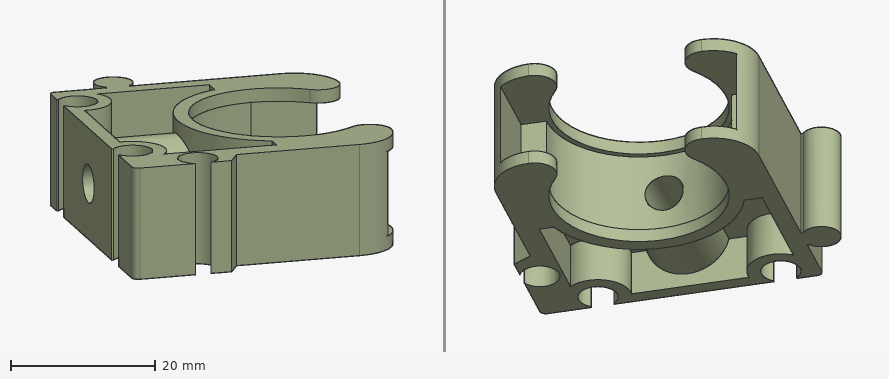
import cadquery as cq
import math

height = 16.0
mid_z = height / 2
cut_margin = 0.45

overall_width = 45.75
half_width = 18.9
total_depth = 40.0
bore_radius = 12.5
bore_y = 27.55
arm_radius = 6.5
tip_radius = 3.1
arm_x = half_width - arm_radius
arm_y = total_depth - arm_radius
tip_y = total_depth - tip_radius
corner_radius = 0.9

shoulder_x = 21.65
shoulder_low_y = 14.2
shoulder_high_y = 15.75

coupling_radius = 2.75
coupling_y = 10.05
pin_x = shoulder_x - overall_width + coupling_radius
neck_half_width = 1.7
neck_start = math.sqrt(coupling_radius**2 - neck_half_width**2)
socket_radius = 2.8
side_socket_x = 19.07
bottom_socket_y = 2.5
bottom_socket_xs = (-13.45, 12.8)
bottom_slot_width = 3.3

web_thickness = 2.75
pocket_depth = (height - web_thickness) / 2
pocket_left = -16.3
pocket_right = 15.75
pocket_bottom = 2.1
pocket_top = 22.4
seat_outer_radius = 14.65
socket_wall_radius = 4.7

boss_radius = 6.05
screw_radius = 2.75

flange_thickness = 1.9
relief_half_width = 16.92
groove_radius = 13.3


def disc(x, y, radius, z=0.0, thickness=height):
    """Upright cylinder standing on the plane at z."""
    return cq.Workplane("XY", origin=(x, y, z)).circle(radius).extrude(thickness)


def block(x_min, x_max, y_min, y_max, z=0.0, thickness=height):
    """Box between the given limits, standing on the plane at z."""
    size_x = x_max - x_min
    size_y = y_max - y_min
    box = cq.Workplane("XY").box(size_x, size_y, thickness, centered=False)
    return box.translate((x_min, y_min, z))


def make_body():
    diagonal = math.sqrt(0.5)
    centre_distance = math.hypot(arm_x, tip_y - bore_y)
    touch_x = bore_radius * arm_x / centre_distance
    touch_y = bore_y + bore_radius * (tip_y - bore_y) / centre_distance
    outer_mid_x = arm_x + arm_radius * diagonal
    outer_mid_y = arm_y + arm_radius * diagonal
    tip_mid_x = arm_x - tip_radius * diagonal
    tip_mid_y = tip_y + tip_radius * diagonal
    body = (
        cq.Workplane("XY")
        .moveTo(-half_width, 0)
        .lineTo(shoulder_x, 0)
        .lineTo(shoulder_x, shoulder_low_y)
        .lineTo(half_width, shoulder_high_y)
        .lineTo(half_width, arm_y)
        .threePointArc((outer_mid_x, outer_mid_y), (arm_x, total_depth))
        .threePointArc((tip_mid_x, tip_mid_y), (touch_x, touch_y))
        .threePointArc((0, bore_y - bore_radius), (-touch_x, touch_y))
        .threePointArc((-tip_mid_x, tip_mid_y), (-arm_x, total_depth))
        .threePointArc((-outer_mid_x, outer_mid_y), (-half_width, arm_y))
        .close()
        .extrude(height)
    )
    return body.edges("|Z and <Y").fillet(corner_radius)


def make_pin():
    neck = block(
        pin_x + neck_start,
        -half_width + cut_margin,
        coupling_y - neck_half_width,
        coupling_y + neck_half_width,
    )
    return disc(pin_x, coupling_y, coupling_radius).union(neck)


def make_pocket(z):
    pocket = block(pocket_left, pocket_right, pocket_bottom, pocket_top, z, pocket_depth)
    pocket = pocket.cut(disc(0, bore_y, seat_outer_radius, z, pocket_depth))
    for x in bottom_socket_xs:
        pocket = pocket.cut(disc(x, bottom_socket_y, socket_wall_radius, z, pocket_depth))
        foot = block(
            x - socket_wall_radius, x + socket_wall_radius,
            pocket_bottom, bottom_socket_y, z, pocket_depth,
        )
        pocket = pocket.cut(foot)
    boss = (
        cq.Workplane("XZ", origin=(0, 0, mid_z))
        .circle(boss_radius)
        .extrude(-bore_y)
    )
    return pocket.cut(boss)


def make_bottom_socket(x):
    slot = block(x - bottom_slot_width / 2, x + bottom_slot_width / 2, -cut_margin, bottom_socket_y)
    return disc(x, bottom_socket_y, socket_radius).union(slot)


def make_relief():
    thickness = height - 2 * flange_thickness
    groove = disc(0, bore_y, groove_radius, flange_thickness, thickness)
    mouth = block(
        -relief_half_width, relief_half_width,
        bore_y, total_depth + cut_margin, flange_thickness, thickness,
    )
    return groove.union(mouth)


screw_hole = (
    cq.Workplane("XZ", origin=(0, -cut_margin, mid_z))
    .circle(screw_radius)
    .extrude(-bore_y)
)

result = make_body().union(make_pin())
for pocket_z in (0.0, height - pocket_depth):
    result = result.cut(make_pocket(pocket_z))
for socket_x in bottom_socket_xs:
    result = result.cut(make_bottom_socket(socket_x))
result = result.cut(disc(side_socket_x, coupling_y, socket_radius))
result = result.cut(make_relief())
result = result.cut(screw_hole)